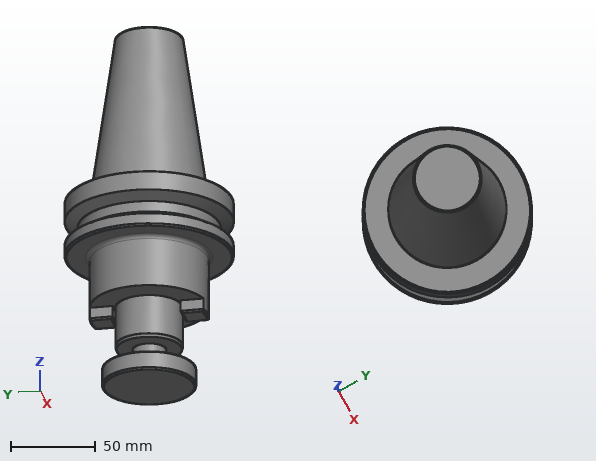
import cadquery as cq
import math

total_height = 222.7
disc_top = 11.4
spigot_bottom = 24.0
key_bottom = 42.8
body_bottom = 50.5
flange_bottom = 82.8
flange_height = 35.0
gauge_gap = 3.1
flange_top = flange_bottom + flange_height
gauge_height = flange_top + gauge_gap

disc_radius = 27.8
neck_radius = 10.0
neck_offset = 0.78
spigot_radius = 20.0
body_radius = 35.2
flange_diameter = 100.0
flange_radius = flange_diameter / 2
gauge_radius = 35.0
relief_radius = 34.5

taper_ratio = 7 / 24
taper_top_radius = gauge_radius - (total_height - gauge_height) * taper_ratio / 2

groove_radius = 42.5
groove_floor_bottom = 94.6
groove_floor_top = 101.3
groove_angle = 30
groove_flare = (flange_radius - groove_radius) * math.tan(math.radians(groove_angle))

edge_chamfer = 1.1
flange_top_chamfer_height = 0.7
disc_top_chamfer = 0.5
spigot_chamfer_height = 2.0
spigot_chamfer_depth = 0.7
cove_radius = 2.5
taper_chamfer = 1.0
relief_step = 1.1

key_width = 15.5
key_inner_face = 20.5


def retaining_disc():
    """Make the screw head, with a broken edge at both rims."""
    disc = cq.Workplane("XY").circle(disc_radius).extrude(disc_top)
    disc = disc.faces("<Z").chamfer(edge_chamfer)
    return disc.faces(">Z").chamfer(disc_top_chamfer)


def screw_neck():
    """Make the neck joining disc and spigot, slightly off the main axis along X."""
    base = cq.Workplane("XY", origin=(neck_offset, 0, disc_top))
    return base.circle(neck_radius).extrude(spigot_bottom - disc_top)


def turned_body():
    """Revolve the stepped half-profile from the spigot up to the taper end."""
    cove_middle = cove_radius * (1 - math.sqrt(0.5))
    profile = (
        cq.Workplane("XZ")
        .moveTo(0, spigot_bottom)
        .lineTo(spigot_radius - spigot_chamfer_depth, spigot_bottom)
        .lineTo(spigot_radius, spigot_bottom + spigot_chamfer_height)
        .lineTo(spigot_radius, body_bottom)
        .lineTo(body_radius, body_bottom)
        .lineTo(body_radius, flange_bottom - cove_radius)
        .threePointArc(
            (body_radius + cove_middle, flange_bottom - cove_middle),
            (body_radius + cove_radius, flange_bottom),
        )
        .lineTo(flange_radius - edge_chamfer, flange_bottom)
        .lineTo(flange_radius, flange_bottom + edge_chamfer)
        .lineTo(flange_radius, groove_floor_bottom - groove_flare)
        .lineTo(groove_radius, groove_floor_bottom)
        .lineTo(groove_radius, groove_floor_top)
        .lineTo(flange_radius, groove_floor_top + groove_flare)
        .lineTo(flange_radius, flange_top - flange_top_chamfer_height)
        .lineTo(flange_radius - edge_chamfer, flange_top)
        .lineTo(relief_radius, flange_top)
        .lineTo(relief_radius, gauge_height - relief_step)
        .lineTo(gauge_radius, gauge_height)
        .lineTo(taper_top_radius + taper_chamfer * taper_ratio / 2, total_height - taper_chamfer)
        .lineTo(taper_top_radius - taper_chamfer, total_height)
        .lineTo(0, total_height)
        .close()
    )
    return profile.revolve(360, (0, 0, 0), (0, 1, 0))


def drive_key(side):
    """Make one key below the body; side is -1 or 1 along Y."""
    block_length = body_radius - key_inner_face
    block_height = body_bottom - key_bottom
    block = (
        cq.Workplane("XY", origin=(0, side * (key_inner_face + block_length / 2), key_bottom))
        .rect(key_width, block_length)
        .extrude(block_height)
    )
    outer_limit = cq.Workplane("XY", origin=(0, 0, key_bottom)).circle(body_radius).extrude(block_height)
    key = block.intersect(outer_limit)
    return key.faces("<Z").chamfer(edge_chamfer)


result = turned_body().union(screw_neck()).union(retaining_disc())
for key_side in (-1, 1):
    result = result.union(drive_key(key_side))